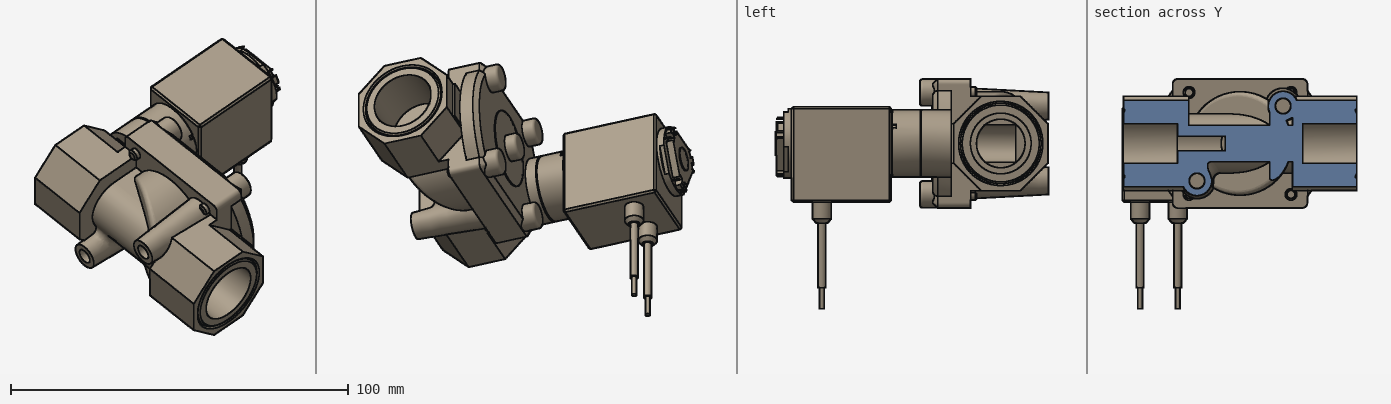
import cadquery as cq
import math


BODY_HALF_LENGTH = 34.59
PORT_SIDES = 8
PORT_FLATS = 28.0
LEFT_PORT_LENGTH = 19.4
RIGHT_PORT_LENGTH = 19.1
PORT_BORE_RADIUS = 9.0
PORT_BORE_DEPTH = 16.0
INNER_BORE_RADIUS = 7.2
GROOVE_INNER_RADIUS = 11.4
GROOVE_OUTER_RADIUS = 12.5
GROOVE_DEPTH = 0.4

PIPE_RADIUS = 8.8
PIPE_HALF_LENGTH = 25.0
BOWL_RADIUS = 15.35
BOWL_SLOPE_DEG = 30.3
BOWL_AXIS_Y = -1.8
BOWL_FLOOR_Y = -9.3
BOWL_EDGE_RADIUS = 1.4
SEAT_RADIUS = 5.6
SEAT_FLOOR_Y = -4.4
SEAT_TOP_Y = 8.0
RAMP_LENGTH = 5.0

FLANGE_LENGTH = 40.0
FLANGE_HEIGHT = 38.28
FLANGE_CORNER = 1.6
FLANGE_Y = 8.9
COVER_Y = 14.6
COVER_TOP_Y = 20.2
COVER_DISC_RADIUS = 25.4
COVER_CHAMFER = 1.5
COVER_PAD_RADIUS = 11.5
COVER_PAD_THICKNESS = 0.3
LEDGE_HALF_LENGTH = 29.5

SCREW_OFFSET = 15.1
SCREW_HEAD_RADIUS = 4.0
SCREW_HEAD_HEIGHT = 3.8
SCREW_HEAD_ROUND = 0.9
SCREW_TIP_RADIUS = 1.7
SCREW_TIP_LENGTH = 1.8
SCREW_TIP_CHAMFER = 0.5

FOOT_X = 12.75
FOOT_Z = 11.1
FOOT_BASE_RADIUS = 5.3
FOOT_END_RADIUS = 4.05
FOOT_END_Y = -14.2
FOOT_ROOT_FILLET = 2.0
FOOT_HOLE_RADIUS = 2.25
FOOT_HOLE_DEPTH = 10.0

COIL_X = -23.9
TUBE_RADIUS = 10.0
TUBE_TOP_Y = 32.1
TUBE_GROOVE_Y = 23.5
TUBE_GROOVE_WIDTH = 0.3
TUBE_GROOVE_DEPTH = 0.2
TUBE_NOTCH_ANGLE = 59.0
TUBE_NOTCH_SIZE = 1.2
NECK_RADIUS = 9.2
HOUSING_WIDTH = 22.0
HOUSING_BOTTOM_Y = 32.45
HOUSING_TOP_Y = 62.0
HOUSING_TOP_Z = 10.9
HOUSING_BOTTOM_Z = -17.4
HOUSING_EDGE = 0.6

CAP_RIM_RADIUS = 10.3
CAP_CROWN_RADIUS = 9.9
CAP_RIM_HEIGHT = 2.3
CAP_HEIGHT = 4.5
CAP_EDGE = 0.5
CAP_BADGE_RADIUS = 3.5
CAP_BADGE_HEIGHT = 0.3
CAP_SCOOP_COUNT = 3
CAP_SCOOP_WIDTH = 12.4
CAP_SCOOP_Z = 6.5
CAP_LIP_Z = 9.36
CAP_LIP_DEPTH = 1.3
CAP_NOTCH_WIDTH = 2.0
CAP_NOTCH_LENGTH = 2.6
CAP_NOTCH_GAP_DEG = 26.0

CABLE_Y = 53.0
CABLE_X = (-29.6, -18.45)
SLEEVE_RADIUS = 2.8
SLEEVE_END_Z = -22.3
SLEEVE_TIP_Z = -23.6
SLEEVE_TIP_RADIUS = 1.7
WIRE_RADIUS = 1.15
WIRE_END_Z = -42.7
CORE_RADIUS = 0.72
CORE_END_Z = -49.0

OVERLAP = 0.5


def cylinder_y(x, z, radius, y_start, y_end):
    """Cylinder along Y between two Y positions."""
    base = cq.Vector(x, y_start, z)
    return cq.Workplane(cq.Solid.makeCylinder(radius, y_end - y_start, base, cq.Vector(0, 1, 0)))


def cylinder_x(radius, x_start, x_end):
    """Cylinder on the port axis between two X positions."""
    base = cq.Vector(x_start, 0, 0)
    return cq.Workplane(cq.Solid.makeCylinder(radius, x_end - x_start, base, cq.Vector(1, 0, 0)))


def cylinder_z(x, y, radius, z_start, z_end):
    """Cylinder along Z between two Z positions."""
    return cq.Workplane(cq.Solid.makeCylinder(radius, z_end - z_start, cq.Vector(x, y, z_start)))


def block(x_range, y_range, z_range):
    """Box given by its limits on each axis."""
    size = [end - start for start, end in (x_range, y_range, z_range)]
    corner = (x_range[0], y_range[0], z_range[0])
    return cq.Workplane().box(*size, centered=False).translate(corner)


def turn_about_coil(shape, angle):
    """Copy of a shape turned about the solenoid axis."""
    return shape.rotate((COIL_X, 0, 0), (COIL_X, 1, 0), angle)


def port(x_start, length):
    """Octagonal port body lying along X."""
    across_corners = PORT_FLATS / math.cos(math.pi / PORT_SIDES)
    sketch = cq.Workplane("YZ", origin=(x_start, 0, 0)).polygon(PORT_SIDES, across_corners)
    return sketch.extrude(length).rotate((0, 0, 0), (1, 0, 0), 180 / PORT_SIDES)


def bowl():
    """Round diaphragm bowl whose underside slopes down towards +X."""
    reach = 2 * BOWL_RADIUS
    slope = math.tan(math.radians(BOWL_SLOPE_DEG))
    drop = reach * slope
    below_slope = (
        cq.Workplane("XY", origin=(0, 0, -reach))
        .polyline([
            (-reach, BOWL_AXIS_Y + drop),
            (reach, BOWL_AXIS_Y - drop),
            (reach, -2 * reach),
            (-reach, -2 * reach),
        ])
        .close()
        .extrude(2 * reach)
    )
    shell = cylinder_y(0, 0, BOWL_RADIUS, -reach, FLANGE_Y + OVERLAP).cut(below_slope)
    shell = shell.faces("%PLANE").faces("<Y").edges().fillet(BOWL_EDGE_RADIUS)
    below_floor = block((-reach, reach), (-2 * reach, BOWL_FLOOR_Y), (-reach, reach))
    return shell.cut(below_floor)


def rounded_plate(y_start, y_end):
    """Rectangular plate with rounded corners, used for the flange and the cover."""
    sketch = cq.Workplane("XZ", origin=(0, y_end, 0)).rect(FLANGE_LENGTH, FLANGE_HEIGHT)
    plate = sketch.extrude(y_end - y_start)
    return plate.edges("|Y").fillet(FLANGE_CORNER)


def cover():
    """Cover: chamfered plate and wider disc, with a low pad in the middle."""
    plate = rounded_plate(COVER_Y, COVER_TOP_Y).faces(">Y").edges().chamfer(COVER_CHAMFER)
    disc = cylinder_y(0, 0, COVER_DISC_RADIUS, COVER_Y, COVER_TOP_Y)
    disc = disc.faces(">Y").edges().chamfer(COVER_CHAMFER)
    half_height = FLANGE_HEIGHT / 2 - COVER_CHAMFER
    disc = disc.intersect(block(
        (-COVER_DISC_RADIUS, COVER_DISC_RADIUS),
        (COVER_Y, COVER_TOP_Y),
        (-half_height, half_height),
    ))
    pad = cylinder_y(0, 0, COVER_PAD_RADIUS, COVER_Y, COVER_TOP_Y + COVER_PAD_THICKNESS)
    return plate.union(disc).union(pad)


def screw_head(x, z):
    """Round screw head standing on the cover."""
    head_base = COVER_TOP_Y - COVER_CHAMFER
    head = cylinder_y(x, z, SCREW_HEAD_RADIUS, head_base, COVER_TOP_Y + SCREW_HEAD_HEIGHT)
    return head.faces(">Y").edges().fillet(SCREW_HEAD_ROUND)


def screw_tip(x, z):
    """End of a screw coming out below the flange."""
    tip = cylinder_y(x, z, SCREW_TIP_RADIUS, FLANGE_Y - SCREW_TIP_LENGTH, FLANGE_Y + OVERLAP)
    return tip.faces("<Y").edges().chamfer(SCREW_TIP_CHAMFER)


def foot(side):
    """Tapered mounting foot; the two feet sit on opposite corners."""
    base = cq.Vector(side * FOOT_X, FLANGE_Y, side * FOOT_Z)
    length = FLANGE_Y - FOOT_END_Y
    return cq.Workplane(
        cq.Solid.makeCone(FOOT_BASE_RADIUS, FOOT_END_RADIUS, length, base, cq.Vector(0, -1, 0))
    )


def inlet_pipe():
    """Pipe between the ports, walled up to the flange and blended into the left foot."""
    pipe = cylinder_x(PIPE_RADIUS, -PIPE_HALF_LENGTH, PIPE_HALF_LENGTH)
    wall = block((-PIPE_HALF_LENGTH, 0), (0, FLANGE_Y + OVERLAP), (-PIPE_RADIUS, PIPE_RADIUS))
    blended = pipe.union(wall).union(foot(-1))
    return blended.edges("%BSPLINE").fillet(FOOT_ROOT_FILLET)


def foot_hole(side):
    """Blind hole in the end of a mounting foot."""
    hole_end = FOOT_END_Y + FOOT_HOLE_DEPTH
    return cylinder_y(side * FOOT_X, side * FOOT_Z, FOOT_HOLE_RADIUS, FOOT_END_Y, hole_end)


def port_bores():
    """Stepped bore and V-shaped face groove of both ports, and the seat bore between them."""
    bore_end = BODY_HALF_LENGTH - PORT_BORE_DEPTH
    left = cylinder_x(PORT_BORE_RADIUS, -BODY_HALF_LENGTH, -bore_end)
    ramp = (
        cq.Workplane("XY", origin=(0, 0, -INNER_BORE_RADIUS))
        .polyline([(-RAMP_LENGTH, -INNER_BORE_RADIUS), (0, -INNER_BORE_RADIUS), (0, SEAT_FLOOR_Y)])
        .close()
        .extrude(2 * INNER_BORE_RADIUS)
    )
    left = left.union(cylinder_x(INNER_BORE_RADIUS, -BODY_HALF_LENGTH, 0).cut(ramp))
    groove_middle = (GROOVE_INNER_RADIUS + GROOVE_OUTER_RADIUS) / 2
    groove = (
        cq.Workplane("XY")
        .polyline([
            (-BODY_HALF_LENGTH, GROOVE_INNER_RADIUS),
            (-BODY_HALF_LENGTH + GROOVE_DEPTH, groove_middle),
            (-BODY_HALF_LENGTH, GROOVE_OUTER_RADIUS),
        ])
        .close()
        .revolve(360, (0, 0, 0), (1, 0, 0))
    )
    right = cylinder_x(PORT_BORE_RADIUS, bore_end, BODY_HALF_LENGTH)
    seat = cylinder_y(0, 0, SEAT_RADIUS, SEAT_FLOOR_Y, SEAT_TOP_Y)
    return left.union(seat), right, groove, groove.mirror("YZ")


def tube():
    """Solenoid tube with a fine groove, two small notches and a narrower neck."""
    body = cylinder_y(COIL_X, 0, TUBE_RADIUS, COVER_Y, TUBE_TOP_Y)
    groove_end = TUBE_GROOVE_Y + TUBE_GROOVE_WIDTH
    ring = cylinder_y(COIL_X, 0, TUBE_RADIUS, TUBE_GROOVE_Y, groove_end)
    ring = ring.cut(cylinder_y(COIL_X, 0, TUBE_RADIUS - TUBE_GROOVE_DEPTH, TUBE_GROOVE_Y, groove_end))
    body = body.cut(ring)
    half_notch = TUBE_NOTCH_SIZE / 2
    for angle in (-TUBE_NOTCH_ANGLE, TUBE_NOTCH_ANGLE):
        notch = block(
            (COIL_X - half_notch, COIL_X + half_notch),
            (TUBE_TOP_Y - TUBE_NOTCH_SIZE, TUBE_TOP_Y),
            (TUBE_RADIUS - half_notch, TUBE_RADIUS + half_notch),
        )
        body = body.cut(turn_about_coil(notch, angle))
    return body.union(cylinder_y(COIL_X, 0, NECK_RADIUS, TUBE_TOP_Y - OVERLAP, HOUSING_BOTTOM_Y + OVERLAP))


def housing():
    """Coil housing with bevelled edges."""
    half_width = HOUSING_WIDTH / 2
    box = block(
        (COIL_X - half_width, COIL_X + half_width),
        (HOUSING_BOTTOM_Y, HOUSING_TOP_Y),
        (HOUSING_BOTTOM_Z, HOUSING_TOP_Z),
    )
    return box.edges().chamfer(HOUSING_EDGE)


def cap():
    """Round cap with stepped scoops around its rim and two grip notches between each pair."""
    rim_top = HOUSING_TOP_Y + CAP_RIM_HEIGHT
    top = HOUSING_TOP_Y + CAP_HEIGHT
    rim = cylinder_y(COIL_X, 0, CAP_RIM_RADIUS, HOUSING_TOP_Y - OVERLAP, rim_top)
    crown = cylinder_y(COIL_X, 0, CAP_CROWN_RADIUS, HOUSING_TOP_Y, top)
    body = rim.union(crown.faces(">Y").edges().chamfer(CAP_EDGE))
    body = body.union(cylinder_y(COIL_X, 0, CAP_BADGE_RADIUS, rim_top, top + CAP_BADGE_HEIGHT))
    scoop = block(
        (COIL_X - CAP_SCOOP_WIDTH / 2, COIL_X + CAP_SCOOP_WIDTH / 2),
        (rim_top, top),
        (CAP_SCOOP_Z, CAP_RIM_RADIUS),
    )
    lip = block(
        (COIL_X - CAP_RIM_RADIUS, COIL_X + CAP_RIM_RADIUS),
        (rim_top - CAP_LIP_DEPTH, top),
        (CAP_LIP_Z, CAP_RIM_RADIUS),
    )
    notch = block(
        (COIL_X - CAP_NOTCH_WIDTH / 2, COIL_X + CAP_NOTCH_WIDTH / 2),
        (rim_top, top),
        (CAP_RIM_RADIUS - CAP_NOTCH_LENGTH, CAP_RIM_RADIUS),
    )
    pitch = 360 / CAP_SCOOP_COUNT
    half_gap = CAP_NOTCH_GAP_DEG / 2
    for index in range(CAP_SCOOP_COUNT):
        angle = index * pitch
        middle = angle + pitch / 2
        body = body.cut(turn_about_coil(scoop, angle)).cut(turn_about_coil(lip, angle))
        for notch_angle in (middle - half_gap, middle + half_gap):
            body = body.cut(turn_about_coil(notch, notch_angle))
    return body


def cable(x):
    """Sleeve with a conical end, insulated wire and bare core, hanging down."""
    sleeve = cylinder_z(x, CABLE_Y, SLEEVE_RADIUS, SLEEVE_END_Z, HOUSING_BOTTOM_Z + OVERLAP)
    tip = cq.Workplane(cq.Solid.makeCone(
        SLEEVE_TIP_RADIUS, SLEEVE_RADIUS, SLEEVE_END_Z - SLEEVE_TIP_Z, cq.Vector(x, CABLE_Y, SLEEVE_TIP_Z)
    ))
    wire = cylinder_z(x, CABLE_Y, WIRE_RADIUS, WIRE_END_Z, SLEEVE_END_Z)
    core = cylinder_z(x, CABLE_Y, CORE_RADIUS, CORE_END_Z, WIRE_END_Z + OVERLAP)
    return sleeve.union(tip).union(wire).union(core)


result = port(-BODY_HALF_LENGTH, LEFT_PORT_LENGTH)
result = result.union(port(BODY_HALF_LENGTH - RIGHT_PORT_LENGTH, RIGHT_PORT_LENGTH))
result = result.union(inlet_pipe())
for x_range in (
    (-FLANGE_LENGTH / 2, LEFT_PORT_LENGTH - BODY_HALF_LENGTH),
    (BODY_HALF_LENGTH - RIGHT_PORT_LENGTH, FLANGE_LENGTH / 2),
):
    result = result.union(block(x_range, (0, FLANGE_Y + OVERLAP), (-PORT_FLATS / 2, PORT_FLATS / 2)))
result = result.union(bowl())
result = result.union(rounded_plate(FLANGE_Y, COVER_Y))
ledge_half_width = PORT_FLATS / 2 * math.tan(math.pi / PORT_SIDES)
result = result.union(block(
    (-LEDGE_HALF_LENGTH, LEDGE_HALF_LENGTH),
    (COVER_Y - 2 * OVERLAP, COVER_Y),
    (-ledge_half_width, ledge_half_width),
))
result = result.union(foot(1))
for side in (-1, 1):
    result = result.cut(foot_hole(side))
for bore in port_bores():
    result = result.cut(bore)

result = result.union(cover())
result = result.union(screw_head(0, 0))
for x in (-SCREW_OFFSET, SCREW_OFFSET):
    for z in (-SCREW_OFFSET, SCREW_OFFSET):
        result = result.union(screw_head(x, z)).union(screw_tip(x, z))

result = result.union(tube()).union(housing()).union(cap())
for x in CABLE_X:
    result = result.union(cable(x))

result = cq.Workplane(result.solids().val())